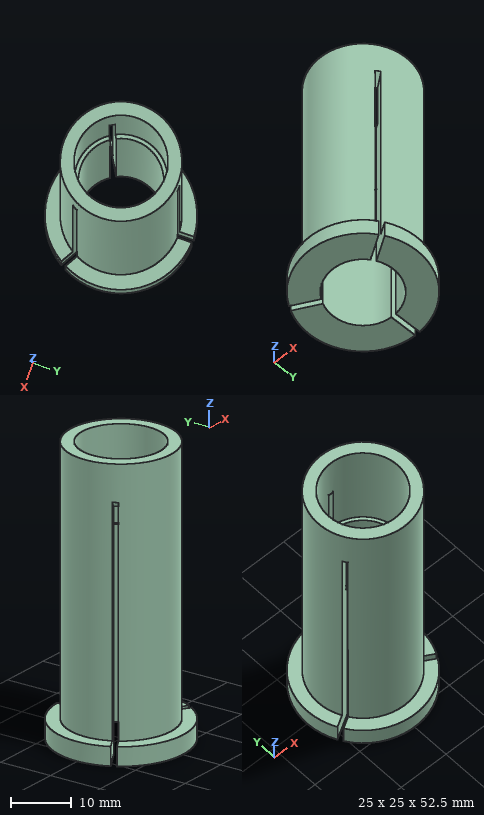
import cadquery as cq
import math

total_height = 52.5
flange_diameter = 25.0
flange_thickness = 3.5
sleeve_diameter = 20.0

lower_bore_diameter = 14.0
upper_bore_diameter = 15.4
bore_step_height = 35.0

slot_count = 3
slot_width = 1.0
slot_top_at_sleeve_surface = 45.7
slot_top_slope = 35.0
first_slot_angle = 90.0


def make_sleeve():
    """Flange at the base with the cylindrical sleeve rising from it."""
    flange = cq.Workplane("XY").circle(flange_diameter / 2).extrude(flange_thickness)
    sleeve = cq.Workplane("XY").circle(sleeve_diameter / 2).extrude(total_height)
    return flange.union(sleeve)


def make_bore():
    """Through bore with the wider stretch above the step."""
    lower_bore = cq.Workplane("XY").circle(lower_bore_diameter / 2).extrude(total_height)
    upper_bore = (
        cq.Workplane("XY", origin=(0, 0, bore_step_height))
        .circle(upper_bore_diameter / 2)
        .extrude(total_height - bore_step_height)
    )
    return lower_bore.union(upper_bore)


def make_slot(angle):
    """Slot cutter running from the axis out past the flange rim at the given angle."""
    slope = math.tan(math.radians(slot_top_slope))
    reach = flange_diameter
    top_at_axis = slot_top_at_sleeve_surface - slope * sleeve_diameter / 2
    top_at_reach = top_at_axis + slope * reach
    return (
        cq.Workplane("XZ")
        .moveTo(0, 0)
        .lineTo(reach, 0)
        .lineTo(reach, top_at_reach)
        .lineTo(0, top_at_axis)
        .close()
        .extrude(slot_width / 2, both=True)
        .rotate((0, 0, 0), (0, 0, 1), angle)
    )


result = make_sleeve().cut(make_bore())
for slot_index in range(slot_count):
    slot_angle = first_slot_angle + slot_index * 360.0 / slot_count
    result = result.cut(make_slot(slot_angle))